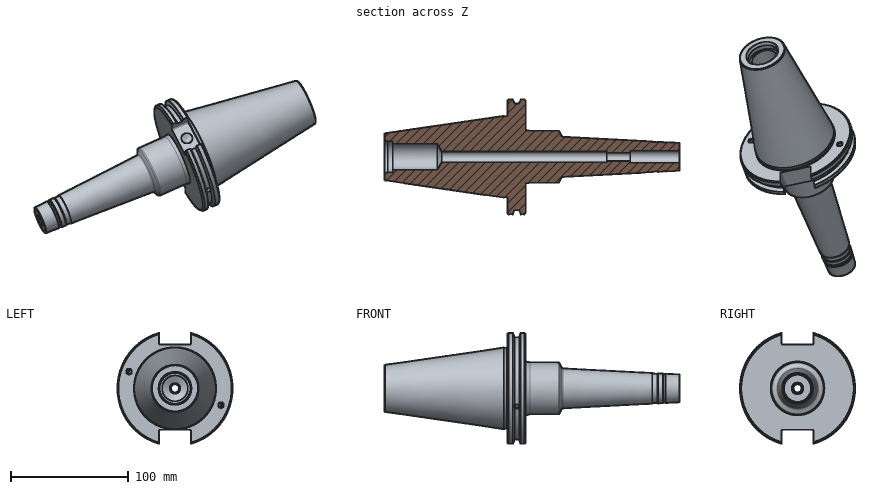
import cadquery as cq
import math

TAPER_LENGTH = 101.6
TIP_X = 150.0

GAUGE_DIA = 69.85
TAPER_RATIO = 7 / 24
TAPER_END_CHAMFER = 0.6
RELIEF_DIA = 69.25
RELIEF_CHAMFER = 1.0
RELIEF_ROOT_BEVEL = 0.5

FLANGE_DIA = 98.425
FLANGE_START = 3.2
FLANGE_END = 19.05
FLANGE_FRONT_CHAMFER = 1.0
FLANGE_REAR_CHAMFER = 1.4
GROOVE_CENTER = 11.25
GROOVE_DIA = 91.4
GROOVE_FLOOR_WIDTH = 3.9
GROOVE_RIM_WIDTH = 6.5

SLOT_WIDTH = 26.85
SLOT_FLOOR_RADIUS = 0.8
UPPER_SLOT_FLOOR = 37.4
LOWER_SLOT_FLOOR = 35.3
DIMPLE_DIA = 9.53
DIMPLE_X = 11.0
DRILL_POINT_ANGLE = 118.0

COOLANT_DIA = 4.2
COOLANT_MOUTH_DIA = 5.0
COOLANT_MOUTH_DEPTH = 1.0
COOLANT_RADIUS = 41.7
COOLANT_DEPTH = 5.5
COOLANT_ANGLE = 20.0
PLUG_HOLE_DIA = 4.13

COLLAR_DIA = 44.5
COLLAR_ROOT_DIA = 46.0
COLLAR_ROOT_END = 22.3
COLLAR_END = 47.2
COLLAR_EDGE_RADIUS = 1.2
NOSE_START = 49.8
NOSE_ROOT_RADIUS = 0.8
NOSE_TIP_DIA = 24.0
NOSE_HALF_ANGLE = 3.0
NOSE_TIP_CHAMFER = 0.5

GROOVES_START = 126.6
BAND_START = 131.0
BAND_END = 136.3
GROOVES_END = 138.1
BAND_BEVEL = 0.8
BAND_HEIGHT = 0.4

MOUTH_DIA = 28.2
MOUTH_DEPTH = 3.0
PILOT_DIA = 26.2
PILOT_DEPTH = 7.0
DRAWBAR_DIA = 21.97
DRAWBAR_DEPTH = 45.0
CHANNEL_DIA = 9.0
STOP_DIA = 6.92
STOP_START = 88.0
TOOL_START = 108.0
TOOL_DIA = 10.0


def drill_tip(diameter):
    """Length of the conical point left by a drill."""
    return diameter / 2 / math.tan(math.radians(DRILL_POINT_ANGLE / 2))


def nose_radius(x):
    """Radius of the conical nose at x."""
    return NOSE_TIP_DIA / 2 + (TIP_X - x) * math.tan(math.radians(NOSE_HALF_ANGLE))


def taper_radius(x):
    """Radius of the 7/24 taper at x, negative towards its small end."""
    return (GAUGE_DIA + x * TAPER_RATIO) / 2


def revolve_profile(points):
    """Solid of revolution about X from an (x, radius) outline that ends on the axis."""
    return cq.Workplane("XY").polyline(points).close().revolve(360, (0, 0, 0), (1, 0, 0))


def round_edge(body, x, radius):
    """Fillet the only circular edge lying in the plane at x."""
    reach = 0.1
    on_axis = cq.selectors.BoxSelector((x - reach, -reach, -reach), (x + reach, reach, reach))
    return body.edges(on_axis).fillet(radius)


def outer_body():
    """Turned outside of the holder, without bore, slots or holes."""
    flange_r = FLANGE_DIA / 2
    groove_r = GROOVE_DIA / 2
    floor_half = GROOVE_FLOOR_WIDTH / 2
    rim_half = GROOVE_RIM_WIDTH / 2
    taper_edge_x = -TAPER_LENGTH + TAPER_END_CHAMFER
    nose_edge_x = TIP_X - NOSE_TIP_CHAMFER

    points = [
        (-TAPER_LENGTH, 0),
        (-TAPER_LENGTH, taper_radius(-TAPER_LENGTH) - TAPER_END_CHAMFER),
        (taper_edge_x, taper_radius(taper_edge_x)),
        (0, GAUGE_DIA / 2),
        (RELIEF_CHAMFER, RELIEF_DIA / 2),
        (FLANGE_START - RELIEF_ROOT_BEVEL, RELIEF_DIA / 2),
        (FLANGE_START, RELIEF_DIA / 2 + RELIEF_ROOT_BEVEL),
        (FLANGE_START, flange_r - FLANGE_FRONT_CHAMFER),
        (FLANGE_START + FLANGE_FRONT_CHAMFER, flange_r),
        (GROOVE_CENTER - rim_half, flange_r),
        (GROOVE_CENTER - floor_half, groove_r),
        (GROOVE_CENTER + floor_half, groove_r),
        (GROOVE_CENTER + rim_half, flange_r),
        (FLANGE_END - FLANGE_REAR_CHAMFER, flange_r),
        (FLANGE_END, flange_r - FLANGE_REAR_CHAMFER),
        (FLANGE_END, COLLAR_ROOT_DIA / 2),
        (COLLAR_ROOT_END, COLLAR_DIA / 2),
        (COLLAR_END, COLLAR_DIA / 2),
        (NOSE_START, nose_radius(NOSE_START)),
        (GROOVES_START, nose_radius(GROOVES_START)),
        (GROOVES_START, nose_radius(GROOVES_START) - BAND_HEIGHT),
        (BAND_START, nose_radius(BAND_START) - BAND_HEIGHT),
        (BAND_START + BAND_BEVEL, nose_radius(BAND_START + BAND_BEVEL)),
        (BAND_END - BAND_BEVEL, nose_radius(BAND_END - BAND_BEVEL)),
        (BAND_END, nose_radius(BAND_END) - BAND_HEIGHT),
        (GROOVES_END, nose_radius(GROOVES_END) - BAND_HEIGHT),
        (GROOVES_END, nose_radius(GROOVES_END)),
        (nose_edge_x, nose_radius(nose_edge_x)),
        (TIP_X, NOSE_TIP_DIA / 2 - NOSE_TIP_CHAMFER),
        (TIP_X, 0),
    ]
    body = revolve_profile(points)
    body = round_edge(body, COLLAR_END, COLLAR_EDGE_RADIUS)
    return round_edge(body, NOSE_START, NOSE_ROOT_RADIUS)


def axial_bore():
    """Stepped cutter from the small end of the taper through to the tip."""
    mouth_end = -TAPER_LENGTH + MOUTH_DEPTH
    pilot_end = -TAPER_LENGTH + PILOT_DEPTH
    drawbar_end = -TAPER_LENGTH + DRAWBAR_DEPTH
    cone_end = drawbar_end + drill_tip(DRAWBAR_DIA) - drill_tip(CHANNEL_DIA)
    return revolve_profile([
        (-TAPER_LENGTH, 0),
        (-TAPER_LENGTH, MOUTH_DIA / 2),
        (mouth_end, PILOT_DIA / 2),
        (pilot_end, PILOT_DIA / 2),
        (pilot_end, DRAWBAR_DIA / 2),
        (drawbar_end, DRAWBAR_DIA / 2),
        (cone_end, CHANNEL_DIA / 2),
        (STOP_START, CHANNEL_DIA / 2),
        (STOP_START, STOP_DIA / 2),
        (TOOL_START, STOP_DIA / 2),
        (TOOL_START, TOOL_DIA / 2),
        (TIP_X, TOOL_DIA / 2),
        (TIP_X, 0),
    ])


def drive_slot(floor, side):
    """Cutter for one drive slot; side is +1 above the axis and -1 below it."""
    height = FLANGE_DIA / 2
    slot = cq.Workplane("XY").box(
        FLANGE_END - FLANGE_START, SLOT_WIDTH, height, centered=(False, True, False)
    )
    slot = slot.faces("<Z").edges("|X").fillet(SLOT_FLOOR_RADIUS)
    slot = slot.translate((FLANGE_START, 0, floor))
    if side < 0:
        slot = slot.mirror("XY")
    return slot


def drill_point(diameter, start, direction):
    """Conical point of a drill, with its wide end at start."""
    return cq.Solid.makeCone(
        diameter / 2, 0, drill_tip(diameter), cq.Vector(*start), cq.Vector(*direction)
    )


def coolant_hole(angle):
    """Axial hole in the front face, met by a radial hole from the gripper groove."""
    axial = cq.Solid.makeCylinder(
        COOLANT_DIA / 2,
        COOLANT_DEPTH,
        cq.Vector(FLANGE_START, COOLANT_RADIUS, 0),
        cq.Vector(1, 0, 0),
    )
    point = drill_point(COOLANT_DIA, (FLANGE_START + COOLANT_DEPTH, COOLANT_RADIUS, 0), (1, 0, 0))
    mouth = cq.Solid.makeCone(
        COOLANT_MOUTH_DIA / 2,
        COOLANT_DIA / 2,
        COOLANT_MOUTH_DEPTH,
        cq.Vector(FLANGE_START, COOLANT_RADIUS, 0),
        cq.Vector(1, 0, 0),
    )
    radial = cq.Solid.makeCylinder(
        PLUG_HOLE_DIA / 2,
        FLANGE_DIA / 2 - COOLANT_RADIUS,
        cq.Vector(GROOVE_CENTER, COOLANT_RADIUS, 0),
        cq.Vector(0, 1, 0),
    )
    hole = cq.Workplane(axial)
    for piece in (point, mouth, radial):
        hole = hole.union(cq.Workplane(piece))
    return hole.rotate((0, 0, 0), (1, 0, 0), angle)


result = outer_body().cut(axial_bore())
result = result.cut(drive_slot(UPPER_SLOT_FLOOR, 1))
result = result.cut(drive_slot(LOWER_SLOT_FLOOR, -1))
dimple = drill_point(DIMPLE_DIA, (DIMPLE_X, 0, UPPER_SLOT_FLOOR), (0, 0, -1))
result = result.cut(cq.Workplane(dimple))
for hole_angle in (COOLANT_ANGLE, COOLANT_ANGLE + 180):
    result = result.cut(coolant_hole(hole_angle))